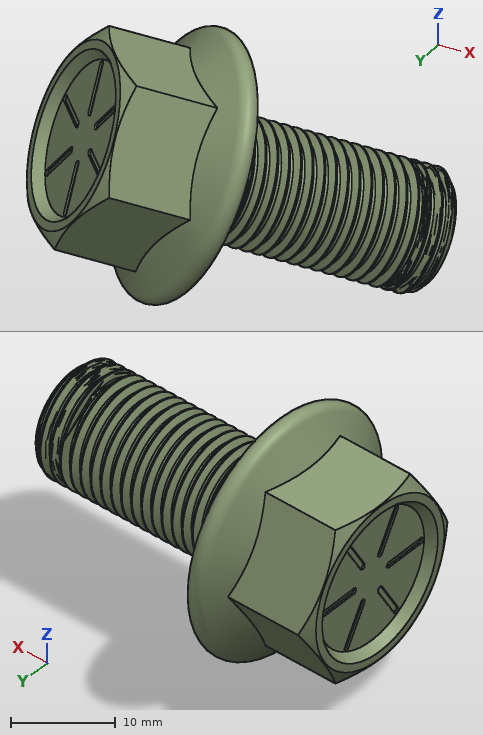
import cadquery as cq
import math

total_length = 38.5

across_flats = 19.05
head_height = 13.1
head_chamfer_diameter = 18.85
head_chamfer_angle = 30.0

flange_diameter = 27.37
rim_radius = 1.2
flange_cone_angle = 30.0

recess_top_diameter = 17.0
recess_floor_diameter = 15.5
recess_depth = 1.08
groove_count = 6
groove_inner_radius = 2.25
groove_outer_radius = 7.62
groove_width = 0.65
groove_depth = 0.25

thread_diameter = 12.7
thread_pitch = 1.27
thread_depth = 0.77
crest_width = thread_pitch / 8
root_width = thread_pitch / 4
root_overlap = 0.08
thread_start = 11.4
shank_start = 10.0
end_diameter = 10.85

rim_center_x = head_height - rim_radius
rim_center_r = flange_diameter / 2 - rim_radius


def revolve_about_x(profile):
    """Turn a closed (x, radius) profile on the XY plane about the X axis."""
    return profile.close().revolve(360, (0, 0, 0), (1, 0, 0))


def make_hex():
    corner_radius = across_flats / math.sqrt(3)
    hexagon = cq.Workplane("YZ").polygon(6, 2 * corner_radius).extrude(rim_center_x)
    face_radius = head_chamfer_diameter / 2
    outer_radius = flange_diameter / 2
    chamfer_length = (outer_radius - face_radius) * math.tan(math.radians(head_chamfer_angle))
    envelope = revolve_about_x(
        cq.Workplane("XY")
        .lineTo(0, face_radius)
        .lineTo(chamfer_length, outer_radius)
        .lineTo(rim_center_x, outer_radius)
        .lineTo(rim_center_x, 0)
    )
    return hexagon.intersect(envelope)


def make_flange():
    angle = math.radians(flange_cone_angle)
    tangent_x = rim_center_x - rim_radius * math.cos(angle)
    tangent_r = rim_center_r + rim_radius * math.sin(angle)
    cone_end_r = across_flats / 3
    cone_end_x = tangent_x - (tangent_r - cone_end_r) * math.tan(angle)
    return revolve_about_x(
        cq.Workplane("XY")
        .moveTo(cone_end_x, 0)
        .lineTo(cone_end_x, cone_end_r)
        .lineTo(tangent_x, tangent_r)
        .threePointArc((rim_center_x, flange_diameter / 2), (head_height, rim_center_r))
        .lineTo(head_height, 0)
    )


def make_recess():
    return revolve_about_x(
        cq.Workplane("XY")
        .lineTo(0, recess_top_diameter / 2)
        .lineTo(recess_depth, recess_floor_diameter / 2)
        .lineTo(recess_depth, 0)
    )


def make_grooves():
    groove_length = groove_outer_radius - groove_inner_radius
    groove_center = (groove_outer_radius + groove_inner_radius) / 2
    groove = (
        cq.Workplane("YZ", origin=(recess_depth, 0, 0))
        .center(groove_center, 0)
        .slot2D(groove_length, groove_width)
        .extrude(groove_depth)
    )
    grooves = cq.Workplane("XY")
    for i in range(groove_count):
        grooves = grooves.add(groove.rotate((0, 0, 0), (1, 0, 0), i * 360 / groove_count))
    return grooves.combine()


def make_thread_ridge():
    """Helical ridge, made along Z and then laid along X from thread_start."""
    crest_radius = thread_diameter / 2
    root_radius = crest_radius - thread_depth
    flank_slope = (thread_pitch - root_width - crest_width) / 2 / thread_depth
    base_half_width = crest_width / 2 + flank_slope * (thread_depth + root_overlap)
    helix_length = total_length + thread_pitch - thread_start
    helix = cq.Wire.makeHelix(thread_pitch, helix_length, root_radius)
    ridge = (
        cq.Workplane("XZ")
        .moveTo(root_radius - root_overlap, -base_half_width)
        .lineTo(crest_radius, -crest_width / 2)
        .lineTo(crest_radius, crest_width / 2)
        .lineTo(root_radius - root_overlap, base_half_width)
        .close()
        .sweep(cq.Workplane(helix), isFrenet=True)
    )
    return ridge.rotate((0, 0, 0), (0, 1, 0), 90).translate((thread_start, 0, 0))


def make_shank():
    """Core and ridge are each tapered at the end, then joined."""
    core_radius = thread_diameter / 2 - thread_depth
    outer_radius = thread_diameter / 2 + thread_depth

    def end_tapered_cylinder(radius):
        end_radius = end_diameter / 2
        return revolve_about_x(
            cq.Workplane("XY")
            .moveTo(shank_start, 0)
            .lineTo(shank_start, radius)
            .lineTo(total_length - (radius - end_radius), radius)
            .lineTo(total_length, end_radius)
            .lineTo(total_length, 0)
        )

    ridge = make_thread_ridge().intersect(end_tapered_cylinder(outer_radius))
    return end_tapered_cylinder(core_radius).union(ridge)


head = make_hex().union(make_flange()).cut(make_recess()).cut(make_grooves())
result = head.union(make_shank())